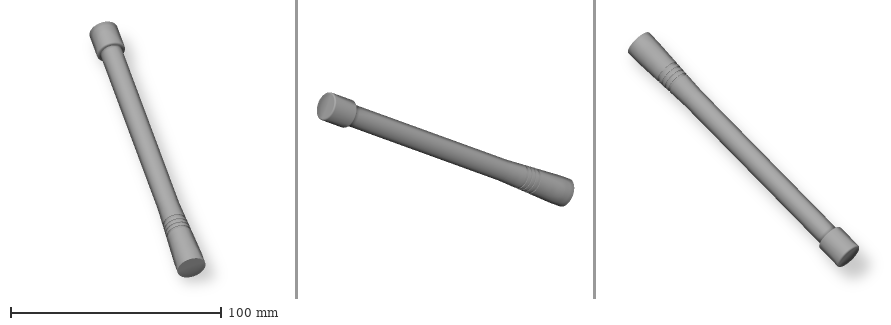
import cadquery as cq

total_length = 150.0
end_diameter = 14.0
end_radius = end_diameter / 2

collar_length = 14.0
collar_rim_fillet = 0.8

rod_diameter = 10.6
rod_radius = rod_diameter / 2

blend_length = 1.4
rod_blend_start = 110.2
end_blend_start = 143.2
rod_blend_middle = rod_blend_start + blend_length / 2
end_blend_middle = end_blend_start + blend_length / 2
flare_slope = (end_radius - rod_radius) / (end_blend_middle - rod_blend_middle)

ring_count = 3
ring_width = 1.4
ring_gap = 0.9
outer_gap = 1.4
groove_depth = 0.38
groove_start = 121.2


def flare_radius(x):
    """Radius of the flared cone at a position along the axis."""
    return rod_radius + flare_slope * (x - rod_blend_middle)


def make_collar():
    return (
        cq.Workplane("YZ")
        .circle(end_radius)
        .extrude(collar_length)
        .edges("%CIRCLE")
        .fillet(collar_rim_fillet)
    )


def make_rod_and_flare():
    """Rod, flare and end band, with smooth blends tangent to the straight parts."""
    rod_blend_end = rod_blend_start + blend_length
    end_blend_end = end_blend_start + blend_length
    return (
        cq.Workplane("XY")
        .moveTo(0, 0)
        .lineTo(0, rod_radius)
        .lineTo(rod_blend_start, rod_radius)
        .tangentArcPoint((rod_blend_end, flare_radius(rod_blend_end)), relative=False)
        .lineTo(end_blend_start, flare_radius(end_blend_start))
        .tangentArcPoint((end_blend_end, end_radius), relative=False)
        .lineTo(total_length, end_radius)
        .lineTo(total_length, 0)
        .close()
        .revolve(360, (0, 0, 0), (1, 0, 0))
    )


def make_groove(start, width):
    """Ring-shaped cutter whose floor runs parallel to the flared surface."""
    end = start + width
    clear_radius = 2 * end_radius
    return (
        cq.Workplane("XY")
        .moveTo(start, flare_radius(start) - groove_depth)
        .lineTo(end, flare_radius(end) - groove_depth)
        .lineTo(end, clear_radius)
        .lineTo(start, clear_radius)
        .close()
        .revolve(360, (0, 0, 0), (1, 0, 0))
    )


result = make_rod_and_flare().union(make_collar())

groove_widths = [outer_gap] + [ring_gap] * (ring_count - 1) + [outer_gap]
position = groove_start
for groove_width in groove_widths:
    result = result.cut(make_groove(position, groove_width))
    position += groove_width + ring_width